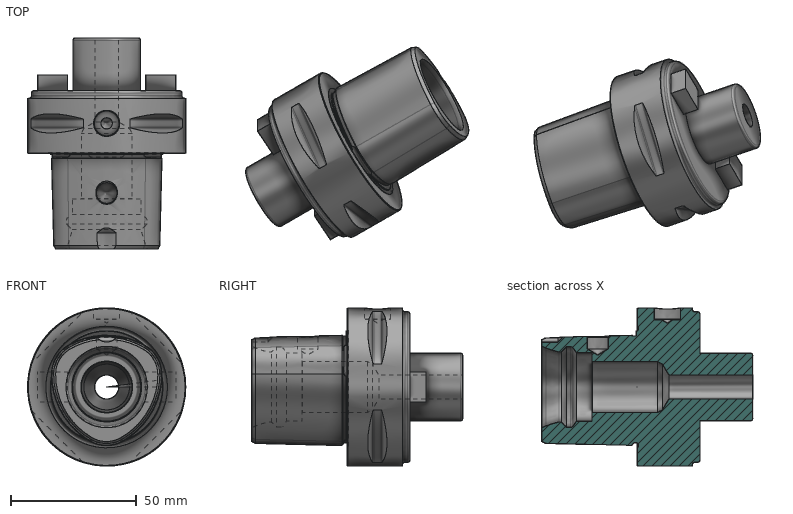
import cadquery as cq
import math


FLANGE_R = 31.5
FLANGE_END = 22.0
FLANGE_CHAMFER = 0.3
COLLAR_R = 30.0
COLLAR_END = 25.0
COLLAR_FILLET = 1.0
PILOT_R = 13.5
PILOT_END = 46.0
PILOT_FILLET = 1.0

KEY_WIDTH = 12.0
KEY_HEIGHT = 6.3
KEY_CENTER = 21.5

SHANK_R = 22.0
LOBE_RISE = 1.35
LOBE_R = 13.0
LOBE_ANGLES = (30, 150, 270)
HALF_LOBE = 30
SHANK_START = 2.0
SHANK_LENGTH = 38.0
TAPER_PER_SIDE = 1 / 40
TIP_CHAMFER_LENGTH = 1.5
TIP_CHAMFER_DEPTH = 0.8
NECK_INSET = 0.25

PLATEAU_HEIGHT = 0.4
GROOVE_OUTER_R = 24.2
GROOVE_INNER_R = 22.4
GROOVE_DEPTH = 0.45
GROOVE_ARC_END = 1.3

MOUTH_R = 16.2
LEAD_R = 15.4
LEAD_DEPTH = 1.8
LIP_R = 13.9
LIP_START = 6.8
LIP_END = 7.8
RECESS_R = 16.0
RECESS_END = 11.5
RECESS_FILLET = 1.2
RECESS_TURN = math.radians(60)
INNER_BORE_R = 13.6
INNER_BORE_START = 13.8
INNER_BORE_END = 20.0

SEAT_R = 10.1
SEAT_CHAMFER = 0.2
SEAT_END = 8.0
SEAT_CONE_R = 9.1
SEAT_CONE_END = 10.0
THROUGH_R = 4.75

DRILL_HALF_ANGLE = math.radians(59)
SIDE_HOLE_R = 4.1
SIDE_HOLE_Y = -15.7
SIDE_HOLE_BOTTOM = 15.2
SIDE_HOLE_SINK_Z = 19.8
NOTCH_R = 5.0
NOTCH_FLOOR = 17.9
NOTCH_LENGTH = 6.4
CHIP_HOLE_R = 5.2
CHIP_HOLE_Y = 12.0
CHIP_HOLE_FLOOR = 26.8
CHIP_HOLE_CHAMFER = 0.25
CHIP_POINT_R = 2.25

SLOT_Y = 12.0
SLOT_FLOOR = 27.8
SLOT_FLOOR_WIDTH = 3.4
SLOT_HALF_ANGLE = math.radians(30)
SLOT_FILLET = 0.5
SLOT_ANGLES = (45, 135, 225, 315)

OVERLAP = 1.0


def turned(profile):
    """Revolve a (radius, y) outline around the Y axis."""
    return profile.close().revolve(360, (0, 0, 0), (0, 1, 0))


def vertical_cone(bottom_r, top_r, bottom_z, top_z, y):
    """Cone frustum, or full cone, with its axis along Z."""
    height = top_z - bottom_z
    return cq.Workplane(cq.Solid.makeCone(bottom_r, top_r, height, cq.Vector(0, y, bottom_z)))


def quarter_arc(center, radius, start_angle, turn):
    """Middle and end points of a quarter circle; turn is 1 anticlockwise, -1 clockwise."""
    angles = [math.radians(start_angle + turn * step) for step in (45, 90)]
    return [(center[0] + radius * math.cos(a), center[1] + radius * math.sin(a)) for a in angles]


def make_turned_body():
    wall_start = FLANGE_END + COLLAR_FILLET
    wall_end = COLLAR_END - COLLAR_FILLET
    outer_corner = (COLLAR_R - COLLAR_FILLET, wall_end)
    inner_corner = (COLLAR_R + COLLAR_FILLET, wall_start)
    pilot_corner = (PILOT_R - PILOT_FILLET, PILOT_END - PILOT_FILLET)
    return turned(
        cq.Workplane("XY")
        .moveTo(0, 0)
        .lineTo(FLANGE_R - FLANGE_CHAMFER, 0)
        .lineTo(FLANGE_R, FLANGE_CHAMFER)
        .lineTo(FLANGE_R, FLANGE_END)
        .lineTo(COLLAR_R + COLLAR_FILLET, FLANGE_END)
        .threePointArc(*quarter_arc(inner_corner, COLLAR_FILLET, 270, -1))
        .lineTo(COLLAR_R, wall_end)
        .threePointArc(*quarter_arc(outer_corner, COLLAR_FILLET, 0, 1))
        .lineTo(PILOT_R, COLLAR_END)
        .lineTo(PILOT_R, pilot_corner[1])
        .threePointArc(*quarter_arc(pilot_corner, PILOT_FILLET, 0, 1))
        .lineTo(0, PILOT_END)
    )


def make_keys():
    return (
        cq.Workplane("XZ", origin=(0, COLLAR_END, 0))
        .pushPoints([(-KEY_CENTER, 0), (KEY_CENTER, 0)])
        .rect(KEY_WIDTH, KEY_WIDTH)
        .extrude(-KEY_HEIGHT)
    )


def trilobe(distance, inset):
    """Three-lobed wire at y = -distance, drawn smaller by inset all round.

    Each lobe arc and the flank arc opposite share one center, so the width is constant.
    """
    center_distance = SHANK_R + LOBE_RISE - LOBE_R
    lobe_r = LOBE_R - inset
    flank_r = 2 * SHANK_R - LOBE_R - inset

    def on_arc(center_angle, radius, angle):
        c, a = math.radians(center_angle), math.radians(angle)
        x = center_distance * math.cos(c) + radius * math.cos(a)
        z = center_distance * math.sin(c) + radius * math.sin(a)
        return (x, z)

    first_lobe = LOBE_ANGLES[0]
    outline = cq.Workplane("XZ", origin=(0, -distance, 0))
    outline = outline.moveTo(*on_arc(first_lobe, lobe_r, first_lobe - HALF_LOBE))
    for lobe in LOBE_ANGLES:
        flank = lobe + 2 * HALF_LOBE
        outline = outline.threePointArc(on_arc(lobe, lobe_r, lobe), on_arc(lobe, lobe_r, lobe + HALF_LOBE))
        outline = outline.threePointArc(
            on_arc(flank + 180, flank_r, flank), on_arc(flank + 180, flank_r, flank + HALF_LOBE)
        )
    return outline.close().val()


def loft(*wires):
    return cq.Workplane(cq.Solid.makeLoft(list(wires), True))


def make_shank():
    chamfer_start = SHANK_LENGTH - TIP_CHAMFER_LENGTH
    neck_end = SHANK_START - NECK_INSET
    taper = (chamfer_start - SHANK_START) * TAPER_PER_SIDE
    neck = loft(trilobe(-OVERLAP, NECK_INSET), trilobe(neck_end, NECK_INSET))
    shoulder = loft(trilobe(neck_end, NECK_INSET), trilobe(SHANK_START, 0))
    cone = loft(trilobe(SHANK_START, 0), trilobe(chamfer_start, taper))
    tip = loft(trilobe(chamfer_start, taper), trilobe(SHANK_LENGTH, taper + TIP_CHAMFER_DEPTH))
    return neck.union(shoulder).union(cone).union(tip)


def make_plateau():
    return cq.Workplane("XZ").circle(GROOVE_INNER_R).extrude(PLATEAU_HEIGHT)


def make_neck_groove():
    """Round ring groove in the contact face that also undercuts the lobes."""
    cone_rise = SHANK_START - GROOVE_ARC_END
    lobe_clear_r = GROOVE_INNER_R + cone_rise
    middle_r = (GROOVE_INNER_R + GROOVE_OUTER_R) / 2
    return turned(
        cq.Workplane("XY")
        .moveTo(GROOVE_OUTER_R, 0)
        .threePointArc((middle_r, GROOVE_DEPTH), (GROOVE_INNER_R, -GROOVE_ARC_END))
        .lineTo(lobe_clear_r, -SHANK_START)
        .lineTo(GROOVE_OUTER_R, -SHANK_START)
    )


def make_bore():
    tip = -SHANK_LENGTH
    recess_start = LIP_END + RECESS_R - LIP_R
    floor = tip + INNER_BORE_END
    point_length = (SEAT_CONE_R - THROUGH_R) / math.tan(DRILL_HALF_ANGLE)

    def recess_arc(angle):
        x = RECESS_R - RECESS_FILLET + RECESS_FILLET * math.cos(angle)
        return (x, tip + RECESS_END + RECESS_FILLET * math.sin(angle))

    return turned(
        cq.Workplane("XY")
        .moveTo(0, tip)
        .lineTo(MOUTH_R, tip)
        .lineTo(LEAD_R, tip + LEAD_DEPTH)
        .lineTo(LIP_R, tip + LIP_START)
        .lineTo(LIP_R, tip + LIP_END)
        .lineTo(RECESS_R, tip + recess_start)
        .lineTo(*recess_arc(0))
        .threePointArc(recess_arc(RECESS_TURN / 2), recess_arc(RECESS_TURN))
        .lineTo(INNER_BORE_R, tip + INNER_BORE_START)
        .lineTo(INNER_BORE_R, floor)
        .lineTo(SEAT_R + SEAT_CHAMFER, floor)
        .lineTo(SEAT_R, floor + SEAT_CHAMFER)
        .lineTo(SEAT_R, SEAT_END)
        .lineTo(SEAT_CONE_R, SEAT_CONE_END)
        .lineTo(THROUGH_R, SEAT_CONE_END + point_length)
        .lineTo(THROUGH_R, PILOT_END)
        .lineTo(0, PILOT_END)
    )


def make_side_hole():
    """Blind drilled hole in the upper shank flank with a 45 degree countersink."""
    point_length = SIDE_HOLE_R / math.tan(DRILL_HALF_ANGLE)
    sink_height = SHANK_R - SIDE_HOLE_SINK_Z
    drill = vertical_cone(0, SIDE_HOLE_R, SIDE_HOLE_BOTTOM - point_length, SIDE_HOLE_BOTTOM, SIDE_HOLE_Y)
    shaft = (
        cq.Workplane("XY", origin=(0, SIDE_HOLE_Y, SIDE_HOLE_BOTTOM))
        .circle(SIDE_HOLE_R)
        .extrude(SHANK_R - SIDE_HOLE_BOTTOM)
    )
    sink = vertical_cone(SIDE_HOLE_R, SIDE_HOLE_R + sink_height, SIDE_HOLE_SINK_Z, SHANK_R, SIDE_HOLE_Y)
    return drill.union(shaft).union(sink)


def make_tip_notch():
    """Round-bottomed notch along Y with a 45 degree conical end."""
    axis_z = NOTCH_FLOOR + NOTCH_R
    notch_end = NOTCH_LENGTH - SHANK_LENGTH
    trough = cq.Workplane("XZ", origin=(0, notch_end, axis_z)).circle(NOTCH_R).extrude(NOTCH_LENGTH)
    point = cq.Solid.makeCone(
        NOTCH_R, 0, NOTCH_R, cq.Vector(0, notch_end, axis_z), cq.Vector(0, 1, 0)
    )
    return trough.union(cq.Workplane(point))


def make_chip_hole():
    """Data chip pocket on top of the flange, with a drill point in its floor."""
    point_length = CHIP_POINT_R / math.tan(DRILL_HALF_ANGLE)
    pocket = (
        cq.Workplane("XY", origin=(0, CHIP_HOLE_Y, CHIP_HOLE_FLOOR))
        .circle(CHIP_HOLE_R)
        .extrude(FLANGE_R - CHIP_HOLE_FLOOR)
        .faces("<Z")
        .chamfer(CHIP_HOLE_CHAMFER)
    )
    point = vertical_cone(0, CHIP_POINT_R, CHIP_HOLE_FLOOR - point_length, CHIP_HOLE_FLOOR, CHIP_HOLE_Y)
    return pocket.union(point)


def make_gripper_slot():
    """Straight V-sided slot across the flange, lying at +X before it is turned into place."""
    depth = FLANGE_R + OVERLAP - SLOT_FLOOR
    floor_half = SLOT_FLOOR_WIDTH / 2
    top_half = floor_half + depth * math.tan(SLOT_HALF_ANGLE)
    return (
        cq.Workplane("XY")
        .moveTo(SLOT_FLOOR, SLOT_Y - floor_half)
        .lineTo(SLOT_FLOOR + depth, SLOT_Y - top_half)
        .lineTo(SLOT_FLOOR + depth, SLOT_Y + top_half)
        .lineTo(SLOT_FLOOR, SLOT_Y + floor_half)
        .close()
        .extrude(FLANGE_R, both=True)
        .edges("<X and |Z")
        .fillet(SLOT_FILLET)
    )


result = make_turned_body().union(make_keys()).union(make_plateau()).union(make_shank())
result = result.cut(make_neck_groove())
result = result.cut(make_bore())
result = result.cut(make_side_hole()).cut(make_tip_notch()).cut(make_chip_hole())
for slot_angle in SLOT_ANGLES:
    result = result.cut(make_gripper_slot().rotate((0, 0, 0), (0, 1, 0), slot_angle))